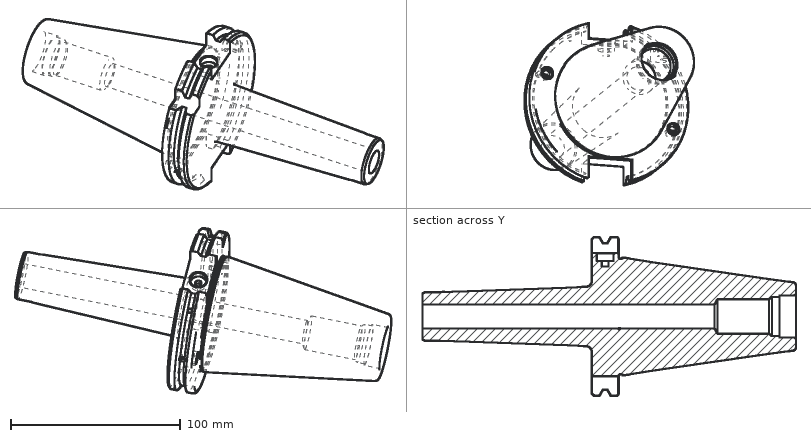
import cadquery as cq
import math

total_length = 220.8
gauge_x = 101.8
flange_start_x = 104.6
flange_end_x = 120.8
groove_x = 112.8

gauge_radius = 34.9
taper_ratio = 7 / 24
nose_radius = gauge_radius - gauge_x * taper_ratio / 2
nose_fillet = 2.2

undercut_depth = 0.7
undercut_gap = 0.7
undercut_fillet = 0.7
undercut_start_x = gauge_x + undercut_gap

flange_diameter = 97.4
flange_radius = flange_diameter / 2
front_rim_fillet = 1.8
back_rim_chamfer = 1.3
groove_mouth = 6.6
groove_floor = 2.6
groove_radius = 45.3

shank_root_radius = 17.7
root_fillet = 3.3
shank_tip_radius = 14.3
tip_step_x = 210.2
tip_step_length = 0.9
tip_step_height = 0.2
tip_chamfer_length = 1.5
tip_chamfer_height = 0.7

pilot_radius = 12.4
mouth_fillet = 1.3
pilot_depth = 9.7
relief_radius = 11.5
relief_depth = 14.3
thread_radius = 10.2
thread_depth = 46.4
through_radius = 7.0
relief_cone_length = 1.5
bore_cone_angle = 60.0

slot_width = 25.8
top_slot_floor_z = 37.5
bottom_slot_floor_z = 35.3

notch_y = 29.8
notch_z = 30.0

corner_fillet = 0.7
front_chamfer = 0.7
rim_clearance = 2.2

chip_diameter = 10.5
chip_chamfer = 0.5
chip_depth = 4.6
chip_centre_diameter = 4.0
chip_centre_depth = 3.3

coolant_angle = 20.0
coolant_pitch_radius = 41.5
coolant_diameter = 7.3
coolant_entry_depth = 2.2
coolant_core_diameter = 4.5
coolant_depth = 10.2

plug_diameter = 3.5
plug_bottom_radius = 39.7
mark_angle = 60.0
mark_diameter = 2.6
mark_bottom_radius = 43.0


def revolve_about_x(outline):
    return outline.close().revolve(360, (0, 0, 0), (1, 0, 0))


def make_body():
    rim_left = groove_x - groove_mouth / 2
    rim_right = groove_x + groove_mouth / 2
    floor_left = groove_x - groove_floor / 2
    floor_right = groove_x + groove_floor / 2
    undercut_radius = gauge_radius - undercut_depth
    outline = (
        cq.Workplane("XY")
        .lineTo(0, nose_radius)
        .lineTo(gauge_x, gauge_radius)
        .lineTo(undercut_start_x, gauge_radius)
        .lineTo(undercut_start_x + undercut_depth, undercut_radius)
        .lineTo(flange_start_x - undercut_fillet, undercut_radius)
        .radiusArc((flange_start_x, undercut_radius + undercut_fillet), -undercut_fillet)
        .lineTo(flange_start_x, flange_radius - front_rim_fillet)
        .radiusArc((flange_start_x + front_rim_fillet, flange_radius), front_rim_fillet)
        .lineTo(rim_left, flange_radius)
        .lineTo(floor_left, groove_radius)
        .lineTo(floor_right, groove_radius)
        .lineTo(rim_right, flange_radius)
        .lineTo(flange_end_x - back_rim_chamfer, flange_radius)
        .lineTo(flange_end_x, flange_radius - back_rim_chamfer)
        .lineTo(flange_end_x, shank_root_radius + root_fillet)
        .radiusArc((flange_end_x + root_fillet, shank_root_radius), -root_fillet)
        .lineTo(tip_step_x, shank_tip_radius + tip_step_height)
        .lineTo(tip_step_x + tip_step_length, shank_tip_radius)
        .lineTo(total_length - tip_chamfer_length, shank_tip_radius)
        .lineTo(total_length, shank_tip_radius - tip_chamfer_height)
        .lineTo(total_length, 0)
    )
    body = revolve_about_x(outline)
    return body.faces("<X").edges().fillet(nose_fillet)


def make_bore():
    cone_length = (thread_radius - through_radius) / math.tan(math.radians(bore_cone_angle))
    outline = (
        cq.Workplane("XY")
        .lineTo(0, pilot_radius + mouth_fillet)
        .radiusArc((mouth_fillet, pilot_radius), -mouth_fillet)
        .lineTo(pilot_depth, pilot_radius)
        .lineTo(pilot_depth, relief_radius)
        .lineTo(relief_depth, relief_radius)
        .lineTo(relief_depth + relief_cone_length, thread_radius)
        .lineTo(thread_depth, thread_radius)
        .lineTo(thread_depth + cone_length, through_radius)
        .lineTo(total_length, through_radius)
        .lineTo(total_length, 0)
    )
    return revolve_about_x(outline)


def make_rim_cut(y_start, y_end, z_start, z_end):
    """Filleted channel along X through the flange rim, widened by a chamfer at its front end."""
    section = cq.Workplane("YZ", origin=(flange_start_x, (y_start + y_end) / 2, (z_start + z_end) / 2))
    width = y_end - y_start
    height = z_end - z_start
    channel = section.rect(width, height).extrude(flange_end_x - flange_start_x)
    channel = channel.edges("|X").fillet(corner_fillet)
    widened = section.rect(width + 2 * front_chamfer, height + 2 * front_chamfer)
    return channel.union(widened.extrude(front_chamfer, taper=45))


def make_rim_cuts():
    outside = flange_radius + rim_clearance
    half_width = slot_width / 2
    top_slot = make_rim_cut(-half_width, half_width, top_slot_floor_z, outside)
    bottom_slot = make_rim_cut(-half_width, half_width, -outside, -bottom_slot_floor_z)
    notch = make_rim_cut(-outside, -notch_y, notch_z, outside)
    return [top_slot, bottom_slot, notch]


def make_chip_pocket():
    floor = cq.Workplane("XY", origin=(groove_x, 0, top_slot_floor_z))
    mouth = floor.circle(chip_diameter / 2).extrude(-chip_chamfer, taper=45)
    pocket = floor.circle(chip_diameter / 2 - chip_chamfer).extrude(-chip_depth)
    centre = floor.circle(chip_centre_diameter / 2).extrude(-chip_depth - chip_centre_depth)
    return mouth.union(pocket).union(centre)


def make_coolant_hole(angle):
    """Stepped hole along X into the flange face."""
    face = cq.Workplane("YZ", origin=(flange_start_x, 0, 0)).transformed(rotate=(0, 0, angle))
    centred = face.center(coolant_pitch_radius, 0)
    entry = centred.circle(coolant_diameter / 2).extrude(coolant_entry_depth)
    return entry.union(centred.circle(coolant_core_diameter / 2).extrude(coolant_depth))


def make_radial_hole(angle, diameter, bottom_radius):
    """Hole from the groove floor towards the axis."""
    hole = cq.Workplane("XZ", origin=(groove_x, bottom_radius, 0)).circle(diameter / 2)
    return hole.extrude(bottom_radius - flange_radius).rotate((0, 0, 0), (1, 0, 0), angle)


cuts = [make_bore(), *make_rim_cuts(), make_chip_pocket()]
for angle in (coolant_angle, coolant_angle + 180):
    cuts.append(make_coolant_hole(angle))
    cuts.append(make_radial_hole(angle, plug_diameter, plug_bottom_radius))
cuts.append(make_radial_hole(mark_angle, mark_diameter, mark_bottom_radius))

result = make_body()
for cut in cuts:
    result = result.cut(cut)